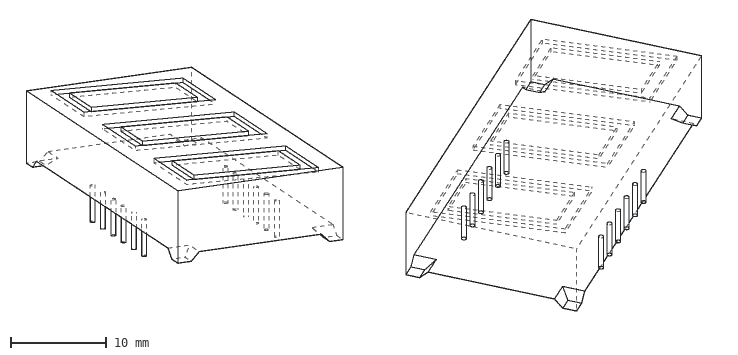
import cadquery as cq

length = 37.5
width = 19.0
total_height = 11.0
housing_height = 7.95
foot_height = 0.95
foot_flat = 1.55

digit_count = 3
digit_pitch = 12.7
slant = 0.137
recess_width = 8.1
recess_height = 14.25
recess_depth = 0.5
island_width = 5.4
island_height = 11.48

pin_diameter = 0.52
pins_per_row = 6
pin_pitch = 2.55
row_spacing = 15.25

housing_top = total_height
housing_bottom = total_height - housing_height
underside = housing_bottom + foot_height


def underside_channel(plane, span, run):
    """45-degree sided channel, leaving feet at both ends of the span."""
    mouth = span / 2 - foot_flat
    roof = mouth - foot_height
    return (
        cq.Workplane(plane)
        .polyline([
            (-mouth, housing_bottom),
            (-roof, underside),
            (roof, underside),
            (mouth, housing_bottom),
        ])
        .close()
        .extrude(run / 2, both=True)
    )


def slanted_block(block_width, block_height):
    """Parallelogram block filling the recess depth, centred on X and Y."""
    shift = slant * block_height / 2
    half_width = block_width / 2
    half_height = block_height / 2
    return (
        cq.Workplane("XY")
        .workplane(offset=housing_top - recess_depth)
        .polyline([
            (-half_width - shift, -half_height),
            (half_width - shift, -half_height),
            (half_width + shift, half_height),
            (-half_width + shift, half_height),
        ])
        .close()
        .extrude(recess_depth)
    )


housing = (
    cq.Workplane("XY")
    .workplane(offset=housing_bottom)
    .rect(length, width)
    .extrude(housing_height)
    .cut(underside_channel("XZ", length, width))
    .cut(underside_channel("YZ", width, length))
)

digit_frame = slanted_block(recess_width, recess_height).cut(
    slanted_block(island_width, island_height)
)
for index in range(digit_count):
    digit_x = (index - (digit_count - 1) / 2) * digit_pitch
    housing = housing.cut(digit_frame.translate((digit_x, 0, 0)))

pins = (
    cq.Workplane("XY")
    .rarray(pin_pitch, row_spacing, pins_per_row, 2)
    .circle(pin_diameter / 2)
    .extrude(underside)
)

result = housing.union(pins)